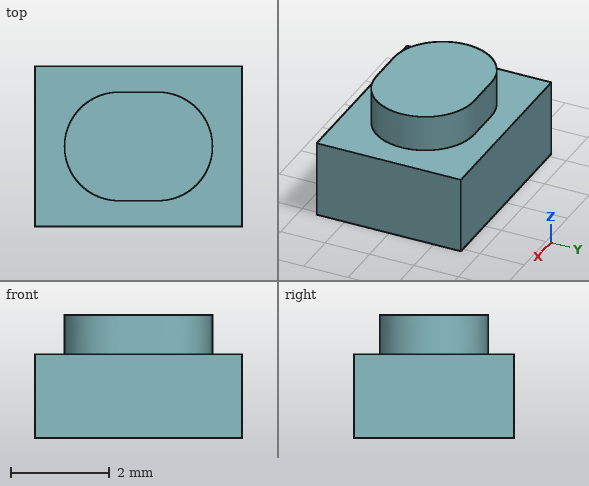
import cadquery as cq

housing_length = 4.2
housing_width = 3.25
housing_height = 1.7

total_height = 2.5
button_length = 3.0
button_width = 2.2
cap_thickness = 0.2
stem_height = total_height - housing_height - cap_thickness


def button_layer(bottom, thickness):
    """Slot-shaped layer of the button, with its long side along X."""
    return (
        cq.Workplane("XY", origin=(0, 0, bottom))
        .slot2D(button_length, button_width)
        .extrude(thickness)
    )


housing = cq.Workplane("XY").box(
    housing_length, housing_width, housing_height, centered=(True, True, False)
)
stem = button_layer(housing_height, stem_height)
cap = button_layer(housing_height + stem_height, cap_thickness)

result = housing.union(stem, clean=False).union(cap, clean=False)